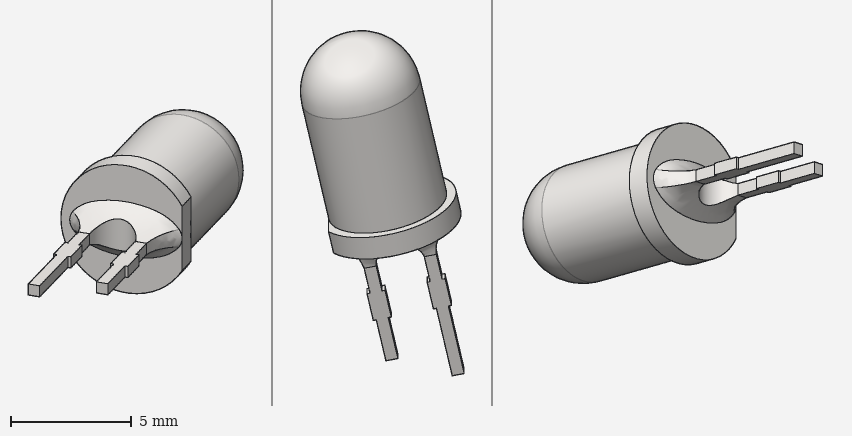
import cadquery as cq
import math


lens_radius = 2.501
flange_radius = 2.898
flange_thickness = 1.0
overall_length = 15.88
long_lead_end = 7.05
lens_height = overall_length - long_lead_end

lead_pitch = 2.54
lead_width = 0.51
lead_thickness = 0.51
short_lead_end = 5.81
collar_width = 0.76
collar_start = 2.65
collar_end = 3.9

foot_height = 1.5
foot_base_half_x = lens_radius
foot_base_half_z = lens_radius / 2
foot_tip_half_x = (lead_pitch + lead_width) / 2
foot_tip_half_z = lead_thickness / 2
foot_seam_half_z = 0.4
foot_mid_flare_x = 0.28
foot_mid_flare_z = 0.37
arch_half_width = (lead_pitch - lead_width) / 2
arch_crown = 0.6
points_per_side = 7


def make_lens():
    """Domed cylinder with a flange that is cut flat, level with the lens, on +X."""
    dome_start = lens_height - lens_radius
    dome_middle = lens_radius * math.sqrt(0.5)
    lens = (
        cq.Workplane("XY")
        .lineTo(flange_radius, 0)
        .lineTo(flange_radius, flange_thickness)
        .lineTo(lens_radius, flange_thickness)
        .lineTo(lens_radius, dome_start)
        .threePointArc((dome_middle, dome_start + dome_middle), (0, lens_height))
        .close()
        .revolve(360, (0, 0), (0, 1))
    )
    flat_cutter = cq.Workplane("XY").box(
        flange_radius, 2 * flange_thickness, 2 * flange_radius
    ).translate((lens_radius + flange_radius / 2, 0, 0))
    return lens.cut(flat_cutter).solids()


def foot_section(depth, flare_x, flare_z):
    """Closed section below the flange: an ellipse at full flare, a rectangle at zero flare."""
    seam_angle = math.asin(foot_seam_half_z / foot_base_half_z)
    corner_angles = [
        -seam_angle,
        seam_angle,
        math.pi - seam_angle,
        math.pi + seam_angle,
        2 * math.pi - seam_angle,
    ]
    tip_corners = [
        (foot_tip_half_x, -foot_tip_half_z),
        (foot_tip_half_x, foot_tip_half_z),
        (-foot_tip_half_x, foot_tip_half_z),
        (-foot_tip_half_x, -foot_tip_half_z),
    ]
    edges = []
    for side in range(4):
        start_x, start_z = tip_corners[side]
        end_x, end_z = tip_corners[(side + 1) % 4]
        start_angle = corner_angles[side]
        sweep = corner_angles[side + 1] - start_angle
        points = []
        for i in range(points_per_side):
            t = i / (points_per_side - 1)
            angle = start_angle + t * sweep
            tip_x = start_x + t * (end_x - start_x)
            tip_z = start_z + t * (end_z - start_z)
            x = tip_x + flare_x * (foot_base_half_x * math.cos(angle) - tip_x)
            z = tip_z + flare_z * (foot_base_half_z * math.sin(angle) - tip_z)
            points.append(cq.Vector(x, -depth, z))
        edges.append(cq.Edge.makeSpline(points))
    return cq.Wire.assembleEdges(edges)


def make_foot():
    """Flared resin foot with an arch cut through along Z between the leads."""
    sections = [
        foot_section(0, 1, 1),
        foot_section(foot_height / 2, foot_mid_flare_x, foot_mid_flare_z),
        foot_section(foot_height, 0, 0),
    ]
    foot = cq.Workplane("XY").add(cq.Solid.makeLoft(sections))
    arch = (
        cq.Workplane("XY")
        .moveTo(-arch_half_width, -foot_height)
        .threePointArc((0, -arch_crown), (arch_half_width, -foot_height))
        .close()
        .extrude(foot_base_half_z, both=True)
    )
    return foot.cut(arch).solids()


def make_lead(center_x, lead_end):
    """Flat lead from the foot's tip to lead_end, with a wider collar along it."""
    bar_length = lead_end - foot_height
    collar_length = collar_end - collar_start
    bar = cq.Workplane("XY").box(lead_width, bar_length, lead_thickness)
    bar = bar.translate((center_x, -(foot_height + lead_end) / 2, 0))
    collar = cq.Workplane("XY").box(collar_width, collar_length, lead_thickness)
    collar = collar.translate((center_x, -(collar_start + collar_end) / 2, 0))
    return bar.union(collar).solids()


lens = make_lens()
foot = make_foot()
leads = []
for center_x, lead_end in [(-lead_pitch / 2, long_lead_end), (lead_pitch / 2, short_lead_end)]:
    leads.append(make_lead(center_x, lead_end).val())

result = cq.Compound.makeCompound([lens.val(), foot.val(), *leads])